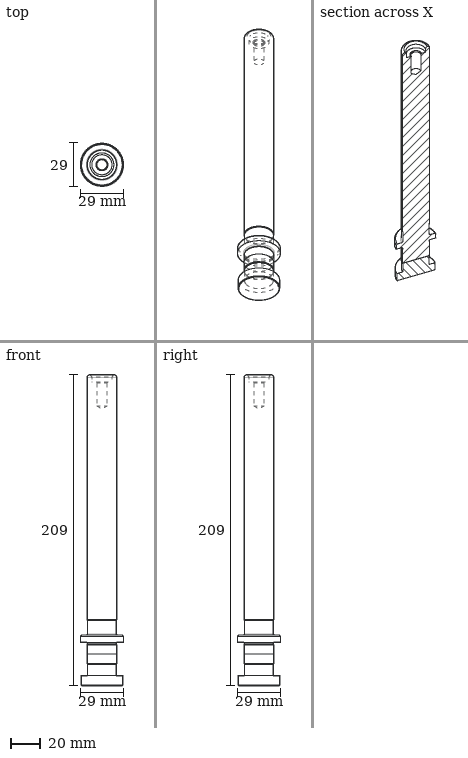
import cadquery as cq
import math

overall_height = 209.0
flange_height = 7.0
joint_height = 14.5
press_line_height = 21.5
collar_bottom = 29.25
collar_height = 5.0
relief_top = 44.0

shaft_diameter = 20.0
press_diameter = 19.98
relief_diameter = 19.5
collar_diameter = 29.0
flange_diameter = 28.0

step_bevel = 0.6
flange_chamfer = 0.5
collar_bevel_height = 1.0
collar_bevel_width = 0.8
collar_root_radius = 0.7
undercut_width = 1.1
tip_round_radius = 2.0

socket_diameter = 13.5
mouth_bevel_depth = 1.7
socket_depth = 5.0
hole_rim_diameter = 8.0
hole_diameter = 6.8
hole_depth = 16.0
drill_tip_angle = 118.0

shaft_radius = shaft_diameter / 2
press_radius = press_diameter / 2
relief_radius = relief_diameter / 2
collar_radius = collar_diameter / 2
flange_radius = flange_diameter / 2
mouth_radius = shaft_radius - tip_round_radius
collar_top = collar_bottom + collar_height


def make_foot():
    """Flanged foot whose neck butts against the lower end of the pillar."""
    flange = (
        cq.Workplane("XY")
        .circle(flange_radius)
        .extrude(flange_height)
        .faces("<Z")
        .chamfer(flange_chamfer)
    )
    neck = (
        cq.Workplane("XY")
        .workplane(offset=flange_height)
        .circle(relief_radius)
        .extrude(joint_height - flange_height)
    )
    return flange.union(neck)


def make_pillar_blank():
    """Turned outside of the pillar: press seat, collar, relief and guide shaft."""
    undercut_bottom = collar_bottom - undercut_width
    return (
        cq.Workplane("XZ")
        .moveTo(0, joint_height)
        .lineTo(relief_radius, joint_height)
        .lineTo(press_radius, joint_height + step_bevel)
        .lineTo(press_radius, press_line_height)
        .lineTo(shaft_radius, press_line_height)
        .lineTo(shaft_radius, undercut_bottom - step_bevel)
        .lineTo(relief_radius, undercut_bottom)
        .lineTo(relief_radius, collar_bottom - collar_root_radius)
        .radiusArc((relief_radius + collar_root_radius, collar_bottom), collar_root_radius)
        .lineTo(collar_radius, collar_bottom)
        .lineTo(collar_radius, collar_top - collar_bevel_height)
        .lineTo(collar_radius - collar_bevel_width, collar_top)
        .lineTo(relief_radius + collar_root_radius, collar_top)
        .radiusArc((relief_radius, collar_top + collar_root_radius), collar_root_radius)
        .lineTo(relief_radius, relief_top)
        .lineTo(shaft_radius, relief_top + step_bevel)
        .lineTo(shaft_radius, overall_height - tip_round_radius)
        .radiusArc((mouth_radius, overall_height), -tip_round_radius)
        .lineTo(0, overall_height)
        .close()
        .revolve(360, (0, 0, 0), (0, 1, 0))
    )


def make_tip_bore():
    """Bevelled socket in the tip with a drilled hole in its floor."""
    socket_floor = overall_height - socket_depth
    hole_radius = hole_diameter / 2
    rim_radius = hole_rim_diameter / 2
    rim_depth = rim_radius - hole_radius
    hole_bottom = socket_floor - hole_depth
    drill_tip_height = hole_radius / math.tan(math.radians(drill_tip_angle / 2))
    return (
        cq.Workplane("XZ")
        .moveTo(0, overall_height)
        .lineTo(mouth_radius, overall_height)
        .lineTo(socket_diameter / 2, overall_height - mouth_bevel_depth)
        .lineTo(socket_diameter / 2, socket_floor)
        .lineTo(rim_radius, socket_floor)
        .lineTo(hole_radius, socket_floor - rim_depth)
        .lineTo(hole_radius, hole_bottom)
        .lineTo(0, hole_bottom - drill_tip_height)
        .close()
        .revolve(360, (0, 0, 0), (0, 1, 0))
    )


foot = make_foot()
pillar = make_pillar_blank().cut(make_tip_bore())

result = cq.Compound.makeCompound([pillar.val(), foot.val()])